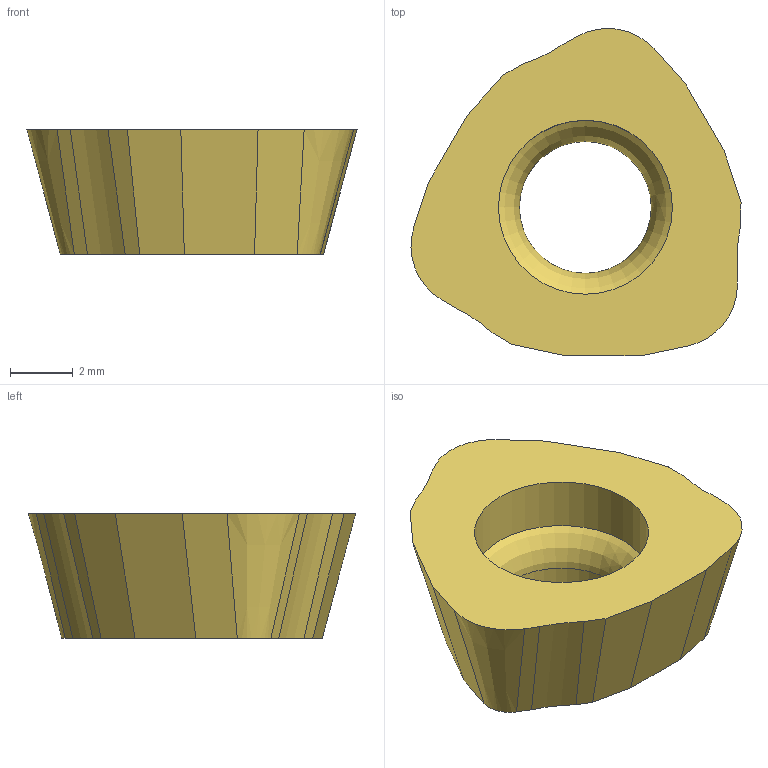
import cadquery as cq
import math


THICKNESS = 3.97
RELIEF_ANGLE = 15.0
LOBES = 3
LOBE_ANGLE = 360.0 / LOBES

FLAT_DISTANCE = 4.725
FLAT_START_X = -0.655
FLAT_LENGTH = 2.46
FACET_ANGLE = 12.0
LEADING_FACET_LENGTH = 1.74
TRAILING_FACET_LENGTH = 1.5
NOSE_RADIUS = 1.98
WALL_ANGLE = 89.0
NOSE_WALL_LENGTH = 0.49
CORNER_WALL_LENGTH = 0.72
HOLLOW_DEPTH = 0.053

HEAD_RADIUS = 2.77
BORE_RADIUS = 2.1
HEAD_DEPTH = 1.7
SEAT_HEIGHT = 1.18


def step(point, heading, length):
    """Point reached from `point` by moving `length` along `heading` (degrees)."""
    angle = math.radians(heading)
    return (point[0] + length * math.cos(angle), point[1] + length * math.sin(angle))


def rotate(point, degrees):
    angle = math.radians(degrees)
    return (
        point[0] * math.cos(angle) - point[1] * math.sin(angle),
        point[0] * math.sin(angle) + point[1] * math.cos(angle),
    )


def inset_corner(point, heading_in, heading_out, inset):
    """Move a corner inward so that both adjoining straight edges shift by `inset`."""
    inward = (heading_in + heading_out) / 2 + 90
    half_turn = math.radians((heading_out - heading_in) / 2)
    return step(point, inward, inset / math.cos(half_turn))


def lobe_edges(inset):
    """Lines and arcs of one lobe, as point lists, shifted inward by `inset`."""
    flat_start = (FLAT_START_X, -FLAT_DISTANCE)
    flat_end = step(flat_start, 0, FLAT_LENGTH)
    corner = step(flat_start, -FACET_ANGLE, -LEADING_FACET_LENGTH)
    next_corner = rotate(corner, LOBE_ANGLE)
    nose_start = step(flat_end, FACET_ANGLE, TRAILING_FACET_LENGTH)
    hollow_end = step(next_corner, WALL_ANGLE, -CORNER_WALL_LENGTH)

    nose_center = step(nose_start, FACET_ANGLE + 90, NOSE_RADIUS)
    nose_end = step(nose_center, WALL_ANGLE - 90, NOSE_RADIUS)
    nose_middle = step(nose_center, (FACET_ANGLE + WALL_ANGLE) / 2 - 90, NOSE_RADIUS - inset)
    hollow_start = step(nose_end, WALL_ANGLE, NOSE_WALL_LENGTH)

    corner_heading = WALL_ANGLE - LOBE_ANGLE
    corner = inset_corner(corner, corner_heading, -FACET_ANGLE, inset)
    next_corner = rotate(corner, LOBE_ANGLE)
    flat_start = inset_corner(flat_start, -FACET_ANGLE, 0, inset)
    flat_end = inset_corner(flat_end, 0, FACET_ANGLE, inset)
    nose_start = inset_corner(nose_start, FACET_ANGLE, FACET_ANGLE, inset)
    nose_end = inset_corner(nose_end, WALL_ANGLE, WALL_ANGLE, inset)
    hollow_start = inset_corner(hollow_start, WALL_ANGLE, WALL_ANGLE, inset)
    hollow_end = inset_corner(hollow_end, WALL_ANGLE, WALL_ANGLE, inset)

    chord_middle = (
        (hollow_start[0] + hollow_end[0]) / 2,
        (hollow_start[1] + hollow_end[1]) / 2,
    )
    hollow_middle = step(chord_middle, WALL_ANGLE + 90, HOLLOW_DEPTH)

    return [
        [corner, flat_start],
        [flat_start, flat_end],
        [flat_end, nose_start],
        [nose_start, nose_middle, nose_end],
        [nose_end, hollow_start],
        [hollow_start, hollow_middle, hollow_end],
        [hollow_end, next_corner],
    ]


def outline(inset, z):
    """Closed wire of all lobes at height `z`."""
    edges = []
    for lobe in range(LOBES):
        for points in lobe_edges(inset):
            corners = [cq.Vector(*rotate(p, lobe * LOBE_ANGLE), z) for p in points]
            if len(corners) == 2:
                edges.append(cq.Edge.makeLine(*corners))
            else:
                edges.append(cq.Edge.makeThreePointArc(*corners))
    return cq.Wire.assembleEdges(edges)


def body():
    """Flared body, narrowing from the top face to the bottom by the relief angle."""
    inset = THICKNESS * math.tan(math.radians(RELIEF_ANGLE))
    solid = cq.Solid.makeLoft([outline(inset, 0), outline(0, THICKNESS)], True)
    return cq.Workplane(obj=solid)


def screw_hole():
    """Cutter: straight head recess, rounded seat, then a bore through the bottom."""
    seat_top = THICKNESS - HEAD_DEPTH
    seat_bottom = seat_top - SEAT_HEIGHT
    seat_width = HEAD_RADIUS - BORE_RADIUS
    seat_radius = (seat_width**2 + SEAT_HEIGHT**2) / (2 * seat_width)
    seat_sweep = math.asin(SEAT_HEIGHT / seat_radius)
    seat_middle = (
        BORE_RADIUS + seat_radius * (1 - math.cos(seat_sweep / 2)),
        seat_bottom + seat_radius * math.sin(seat_sweep / 2),
    )
    return (
        cq.Workplane("XZ")
        .moveTo(0, 0)
        .lineTo(BORE_RADIUS, 0)
        .lineTo(BORE_RADIUS, seat_bottom)
        .threePointArc(seat_middle, (HEAD_RADIUS, seat_top))
        .lineTo(HEAD_RADIUS, THICKNESS)
        .lineTo(0, THICKNESS)
        .close()
        .revolve(360, (0, 0, 0), (0, 1, 0))
    )


result = body().cut(screw_hole())